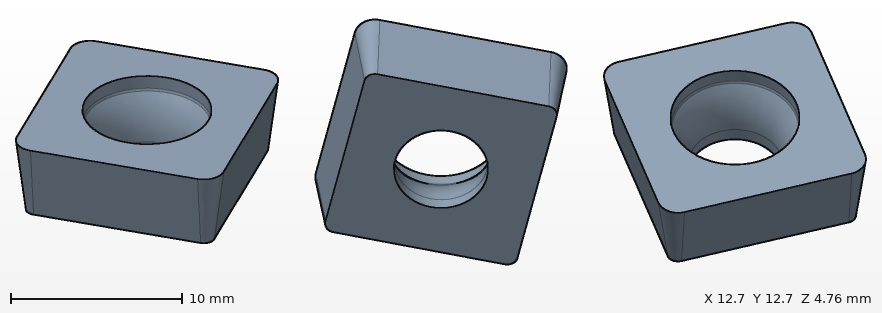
import cadquery as cq
import math

side = 12.7
thickness = 4.76
corner_radius = 1.22
clearance_angle = 7.0

hole_diameter = 5.5
mouth_diameter = 7.55
seat_diameter = 7.44
mouth_depth = 0.83
lead_in_height = 0.17
seat_radius = 4.83


def insert_body():
    """Rounded square that narrows downward from the top face."""
    outline = cq.Sketch().rect(side, side).vertices().fillet(corner_radius)
    return (
        cq.Workplane("XY")
        .workplane(offset=thickness)
        .placeSketch(outline)
        .extrude(-thickness, taper=clearance_angle)
    )


def screw_hole():
    """Revolved cutter: straight mouth, narrow cone, curved seat, through bore."""
    bore = hole_diameter / 2
    mouth = mouth_diameter / 2
    seat = seat_diameter / 2
    wall_bottom = thickness - mouth_depth
    seat_top = wall_bottom - lead_in_height

    sweep = math.acos(1 - (seat - bore) / seat_radius)
    seat_bottom = seat_top - seat_radius * math.sin(sweep)
    middle = (
        bore + seat_radius * (1 - math.cos(sweep / 2)),
        seat_bottom + seat_radius * math.sin(sweep / 2),
    )
    return (
        cq.Workplane("XZ")
        .lineTo(bore, 0)
        .lineTo(bore, seat_bottom)
        .threePointArc(middle, (seat, seat_top))
        .lineTo(mouth, wall_bottom)
        .lineTo(mouth, thickness)
        .lineTo(0, thickness)
        .close()
        .revolve(360, (0, 0, 0), (0, 1, 0))
    )


result = insert_body().cut(screw_hole())